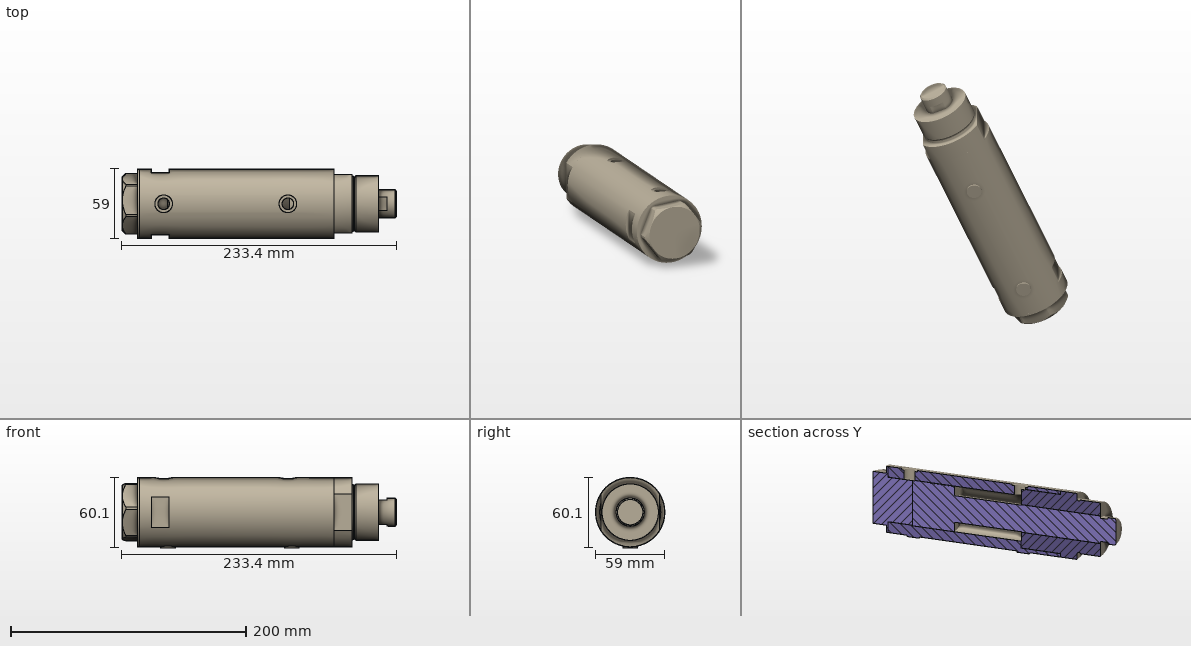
import cadquery as cq
import math


total_length = 233.42
barrel_diameter = 59.0
bore_diameter = 40.0
rod_diameter = 24.0

hex_length = 13.0
hex_across_flats = 46.0
hex_corner_diameter = 52.0
hex_face_diameter = 45.6
hex_turn = -7.3
plug_flange_length = 2.0
plug_end = 38.5

housing_start = hex_length + plug_flange_length
housing_end = 180.4
spanner_flat_offset = 10.0
spanner_flat_length = 15.0
housing_across_flats = 53.0
port_centre = 35.4
port_pitch = 105.7
port_diameter = 9.8
spot_face_diameter = 15.0
spot_face_height = 28.3
pad_centre = 39.1
pad_pitch = 105.4
pad_diameter = 12.5
pad_height = 30.6

gland_start = 142.5
gland_spigot_diameter = 52.0
gland_flange_length = 15.4
gland_across_flats = 50.0
nose_diameter = 48.0
nose_length = 22.5
groove_diameter = 46.0
groove_floor_length = 0.8
groove_taper_length = 1.3

piston_length = 40.0
rod_across_flats = 21.0
rod_flat_length = 7.0
rod_tip_chamfer = 1.2

gland_flange_end = housing_end + gland_flange_length
gland_end = gland_flange_end + nose_length
port_positions = [port_centre, port_centre + port_pitch]
pad_positions = [pad_centre, pad_centre + pad_pitch]


def cylinder_x(start, end, diameter):
    """Cylinder on the X axis."""
    return cq.Workplane("YZ", origin=(start, 0, 0)).circle(diameter / 2).extrude(end - start)


def cylinder_z(x, bottom, top, diameter):
    """Upright cylinder crossing the X axis."""
    return cq.Workplane("XY", origin=(x, 0, bottom)).circle(diameter / 2).extrude(top - bottom)


def slab(start, end, y_size, z_size):
    """Block centred on the X axis."""
    return cq.Workplane("YZ", origin=(start, 0, 0)).rect(y_size, z_size).extrude(end - start)


def make_plug():
    hexagon = (
        cq.Workplane("YZ")
        .polygon(6, hex_across_flats / math.cos(math.radians(30)))
        .extrude(hex_length)
    )
    face_chamfer = (hex_corner_diameter - hex_face_diameter) / 2
    turned_blank = cylinder_x(0, hex_length, hex_corner_diameter).faces("<X").chamfer(face_chamfer)
    head = hexagon.intersect(turned_blank)
    flange = cylinder_x(hex_length, housing_start, barrel_diameter)
    spigot = cylinder_x(housing_start, plug_end, bore_diameter)
    return head.union(flange).union(spigot).rotate((0, 0, 0), (1, 0, 0), hex_turn)


def make_housing():
    body = cylinder_x(housing_start, housing_end, barrel_diameter)
    for x in pad_positions:
        body = body.union(cylinder_z(x, -pad_height, 0, pad_diameter))

    flat_start = housing_start + spanner_flat_offset
    flat_end = flat_start + spanner_flat_length
    flat_ring = slab(flat_start, flat_end, 2 * barrel_diameter, barrel_diameter).cut(
        slab(flat_start, flat_end, housing_across_flats, barrel_diameter)
    )
    body = body.cut(flat_ring)

    body = body.cut(cylinder_x(housing_start, housing_end, bore_diameter))
    body = body.cut(cylinder_x(gland_start, housing_end, gland_spigot_diameter))
    for x in port_positions:
        body = body.cut(cylinder_z(x, spot_face_height, barrel_diameter, spot_face_diameter))
        body = body.cut(cylinder_z(x, 0, barrel_diameter, port_diameter))
    return body


def make_gland():
    flange = cylinder_x(housing_end, gland_flange_end, barrel_diameter).intersect(
        slab(housing_end, gland_flange_end, gland_across_flats, barrel_diameter)
    )
    spigot = cylinder_x(gland_start, housing_end, gland_spigot_diameter)

    nose_radius = nose_diameter / 2
    groove_radius = groove_diameter / 2
    floor_start = gland_flange_end + groove_taper_length
    floor_end = floor_start + groove_floor_length
    nose = (
        cq.Workplane("XZ")
        .moveTo(gland_flange_end, 0)
        .lineTo(gland_flange_end, nose_radius)
        .lineTo(floor_start, groove_radius)
        .lineTo(floor_end, groove_radius)
        .lineTo(floor_end + groove_taper_length, nose_radius)
        .lineTo(gland_end, nose_radius)
        .lineTo(gland_end, 0)
        .close()
        .revolve(360, (0, 0, 0), (1, 0, 0))
    )
    rod_hole = cylinder_x(gland_start, gland_end, rod_diameter)
    return spigot.union(flange).union(nose).cut(rod_hole)


def make_rod():
    piston = cylinder_x(plug_end, plug_end + piston_length, bore_diameter)
    shaft = cylinder_x(plug_end, total_length, rod_diameter).faces(">X").chamfer(rod_tip_chamfer)
    flat_end = gland_end + rod_flat_length
    flat_cutter = slab(gland_end, flat_end, rod_diameter, 2 * rod_diameter).cut(
        slab(gland_end, flat_end, rod_diameter, rod_across_flats)
    )
    return shaft.union(piston).cut(flat_cutter)


plug = make_plug()
housing = make_housing()
gland = make_gland()
rod = make_rod()

result = cq.Compound.makeCompound([plug.val(), housing.val(), gland.val(), rod.val()])